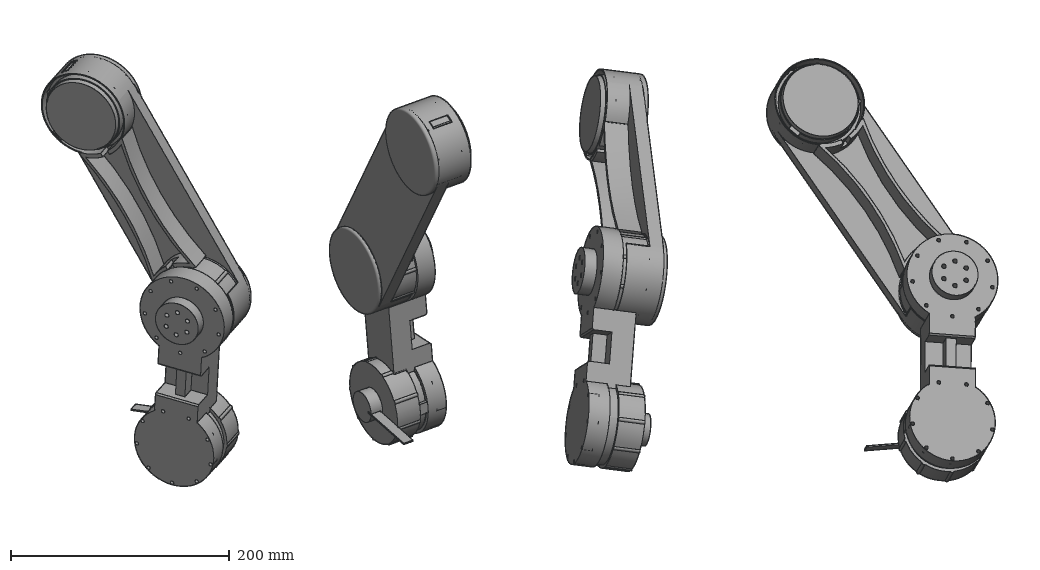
import cadquery as cq

PITCH = -4.2
YAW = -7.8
ROLL = 1.0

ARM_LENGTH = 208.5
ARM_LEAN = 35.0
FOREARM_LENGTH = 139.5

MOTOR_FACE_RADIUS = 35.0
MOTOR_NECK_RADIUS = 36.0
MOTOR_NECK_LENGTH = 4.5
MOTOR_COLLAR_RADIUS = 37.0
MOTOR_COLLAR_LENGTH = 8.5
MOTOR_BODY_RADIUS = 40.0
MOTOR_BODY_LENGTH = 25.0
MOTOR_LENGTH = MOTOR_NECK_LENGTH + MOTOR_COLLAR_LENGTH + MOTOR_BODY_LENGTH
CONNECTOR_WIDTH = 11.0
CONNECTOR_DEPTH = 6.0
CONNECTOR_ANGLE = 182.0
RIB_COUNT = 9
RIB_RADIUS = 2.0
RIB_TIP_RADIUS = 41.0
WRIST_RIB_ANGLE = -2.0
ELBOW_RIB_ANGLE = 15.0

STRIP_REACH = 69.5
STRIP_ROOT = 10.0
STRIP_WIDTH = 10.0
STRIP_THICKNESS = 1.5
STRIP_ANGLE = -9.0

SHELL_RADIUS = 42.0
BORE_RADIUS = RIB_TIP_RADIUS
ARM_FRONT = 22.5
SLAB_FRONT = 45.0
ARM_BACK = 58.0
RAIL_WAIST = 16.0
RAIL_FLARE = 25.5
RAIL_FLARE_SPAN = 70.0
RAIL_THICKNESS = 3.0
COLLAR_RADIUS = 45.0
SLOT_WIDTH = 8.0
TIP_SLOT_FRONT = 32.0
TIP_SLOT_LENGTH = 20.0
INNER_SLOT_BACK = 36.0

SHOULDER_FRONT = 23.5
SHOULDER_CAP_THICKNESS = 5.0
ELBOW_CAP_THICKNESS = 3.5
CAP_FILLET = 2.0

ELBOW_PLATE_RADIUS = 42.5
ELBOW_PLATE_THICKNESS = 19.0
WRIST_FACE = -2.0
WRIST_PLATE_THICKNESS = 20.0
WRIST_PLATE_RADIUS = 40.0
BEAM_WIDTH = 43.0
BEAM_BACK = 40.2
BEAM_WEB_FRONT = 18.8
BEAM_RIB_WIDTH = 9.5
BEAM_RIB_FRONT = 5.4
BEAM_GAP_TOP = -57.3
BEAM_GAP_BOTTOM = -87.0
BEAM_EDGE_CHAMFER = 1.5
JOINT_CLEARANCE = 0.5
SCREW_COUNT = 9
SCREW_CIRCLE_RADIUS = 37.8
SCREW_DIAMETER = 3.3
SCREW_DEPTH = 10.0

ELBOW_HUB_RADIUS = 21.5
ELBOW_HUB_LENGTH = 11.5
HUB_SCREW_COUNT = 6
HUB_SCREW_CIRCLE_RADIUS = 12.0
HUB_SCREW_DIAMETER = 4.1
WRIST_HUB_RADIUS = 15.0
WRIST_HUB_LENGTH = 12.5


def disc(radius, front, back, z=0.0):
    """Cylinder along Y from front to back, centred on X = 0 at height z."""
    return cq.Workplane("XZ", origin=(0, front, z)).circle(radius).extrude(front - back)


def block(x_min, x_max, y_min, y_max, z_min, z_max):
    """Axis-aligned box between the given limits."""
    size = (x_max - x_min, y_max - y_min, z_max - z_min)
    return cq.Workplane().box(*size, centered=False).translate((x_min, y_min, z_min))


def turn(body, angle):
    """Turn a body about the Y axis, counter-clockwise when seen from the front."""
    return body.rotate((0, 0, 0), (0, 1, 0), -angle)


def screw_holes(count, circle_radius, diameter, front, depth, first_angle, z=0.0):
    """Ring of hole-shaped cutters drilled backwards from the plane Y = front."""
    return (
        cq.Workplane("XZ", origin=(0, front, z))
        .polarArray(circle_radius, first_angle, 360, count)
        .circle(diameter / 2)
        .extrude(-depth)
    )


def make_motor(rib_angle):
    """Motor along Y: face at Y = 0, neck, collar with its connector, then the ribbed body."""
    collar_start = MOTOR_NECK_LENGTH
    collar_end = collar_start + MOTOR_COLLAR_LENGTH
    profile = [
        (0, 0),
        (MOTOR_FACE_RADIUS, 0),
        (MOTOR_NECK_RADIUS, collar_start),
        (MOTOR_COLLAR_RADIUS, collar_start),
        (MOTOR_COLLAR_RADIUS, collar_end),
        (MOTOR_BODY_RADIUS, collar_end),
        (MOTOR_BODY_RADIUS, MOTOR_LENGTH),
        (0, MOTOR_LENGTH),
    ]
    motor = cq.Workplane("XY").polyline(profile).close().revolve(360, (0, 0), (0, 1))
    ribs = (
        cq.Workplane("XZ", origin=(0, collar_end, 0))
        .polarArray(RIB_TIP_RADIUS - RIB_RADIUS, rib_angle, 360, RIB_COUNT)
        .circle(RIB_RADIUS)
        .extrude(-MOTOR_BODY_LENGTH)
    )
    connector = block(
        MOTOR_BODY_RADIUS - CONNECTOR_DEPTH, MOTOR_BODY_RADIUS,
        collar_start, collar_end,
        -CONNECTOR_WIDTH / 2, CONNECTOR_WIDTH / 2,
    )
    return motor.union(ribs).union(turn(connector, rib_angle + CONNECTOR_ANGLE))


def make_elbow_hub():
    """Round output hub on the elbow plate, with a ring of screw holes."""
    front = -ELBOW_HUB_LENGTH
    holes = screw_holes(
        HUB_SCREW_COUNT, HUB_SCREW_CIRCLE_RADIUS, HUB_SCREW_DIAMETER, front, ELBOW_HUB_LENGTH, 90
    )
    return disc(ELBOW_HUB_RADIUS, front, 0).cut(holes)


def make_joint_drum(front, cap_thickness, z):
    """Round end of the upper arm, with a cap that stands out behind the slab."""
    drum = disc(SHELL_RADIUS, front, ARM_BACK + cap_thickness, z)
    return drum.faces(">Y").edges().fillet(CAP_FILLET)


def rail_outline(inset):
    """Waisted strip between the two joints, its curved sides moved inwards by inset."""
    middle = ARM_LENGTH / 2
    low = middle - RAIL_FLARE_SPAN
    high = middle + RAIL_FLARE_SPAN
    flare = RAIL_FLARE - inset
    waist = RAIL_WAIST - inset
    return (
        cq.Workplane("XZ", origin=(0, ARM_FRONT, 0))
        .moveTo(-flare, low)
        .lineTo(flare, low)
        .threePointArc((waist, middle), (flare, high))
        .lineTo(-flare, high)
        .threePointArc((-waist, middle), (-flare, low))
        .close()
        .extrude(ARM_FRONT - SLAB_FRONT)
    )


def make_arm():
    """Upper arm standing along +Z from the elbow to the shoulder."""
    slab = block(-SHELL_RADIUS, SHELL_RADIUS, SLAB_FRONT, ARM_BACK, 0, ARM_LENGTH)
    rails = rail_outline(0).cut(rail_outline(RAIL_THICKNESS))
    shoulder_drum = make_joint_drum(SHOULDER_FRONT, SHOULDER_CAP_THICKNESS, ARM_LENGTH)

    window = block(-SHELL_RADIUS, SHELL_RADIUS, ARM_FRONT, SLAB_FRONT, 0, SHELL_RADIUS)
    elbow_drum = make_joint_drum(ARM_FRONT, ELBOW_CAP_THICKNESS, 0).cut(window.cut(rail_outline(0)))

    arm = slab.union(rails).union(shoulder_drum).union(elbow_drum)
    for z in (0, ARM_LENGTH):
        arm = arm.union(disc(COLLAR_RADIUS, ARM_FRONT, SLAB_FRONT, z).intersect(rail_outline(0)))
        arm = arm.cut(disc(BORE_RADIUS, 0, ARM_BACK, z))

    half_slot = SLOT_WIDTH / 2
    tip_slot = block(
        -half_slot, half_slot,
        TIP_SLOT_FRONT, TIP_SLOT_FRONT + TIP_SLOT_LENGTH,
        ARM_LENGTH, ARM_LENGTH + 2 * SHELL_RADIUS,
    )
    inner_slots = block(-half_slot, half_slot, ARM_FRONT, INNER_SLOT_BACK, 0, ARM_LENGTH)
    return arm.cut(tip_slot).cut(inner_slots)


def make_forearm():
    """Forearm: elbow plate, ribbed beam and wrist plate in one piece."""
    half_width = BEAM_WIDTH / 2
    half_rib = BEAM_RIB_WIDTH / 2
    wrist_z = -FOREARM_LENGTH
    elbow_plate_back = ELBOW_PLATE_THICKNESS
    wrist_plate_back = WRIST_FACE + WRIST_PLATE_THICKNESS

    web = block(-half_width, half_width, BEAM_WEB_FRONT, BEAM_BACK, wrist_z, 0)
    rib = block(-half_rib, half_rib, BEAM_RIB_FRONT, BEAM_BACK, wrist_z, 0)
    elbow_block = (
        block(-half_width, half_width, 0, BEAM_BACK, BEAM_GAP_TOP, 0)
        .faces("<Z").edges("<Y").chamfer(BEAM_EDGE_CHAMFER)
    )
    wrist_block = (
        block(-half_width, half_width, WRIST_FACE, BEAM_BACK, wrist_z, BEAM_GAP_BOTTOM)
        .faces(">Z").edges("<Y").chamfer(BEAM_EDGE_CHAMFER)
    )
    beam = web.union(rib).union(elbow_block).union(wrist_block)
    clear_radius = SHELL_RADIUS + JOINT_CLEARANCE
    beam = beam.cut(disc(clear_radius, elbow_plate_back, BEAM_BACK))

    forearm = (
        beam.union(disc(ELBOW_PLATE_RADIUS, 0, elbow_plate_back))
        .union(disc(WRIST_PLATE_RADIUS, WRIST_FACE, wrist_plate_back, wrist_z))
    )
    for front, z in ((0, 0), (WRIST_FACE, wrist_z)):
        forearm = forearm.cut(
            screw_holes(SCREW_COUNT, SCREW_CIRCLE_RADIUS, SCREW_DIAMETER, front, SCREW_DEPTH, 270, z)
        )
    return forearm


def make_cable_strip():
    """Flat cable leaving the back of the motor towards -X."""
    strip = block(
        -STRIP_REACH, -STRIP_ROOT,
        0, STRIP_WIDTH,
        -STRIP_THICKNESS / 2, STRIP_THICKNESS / 2,
    )
    return strip.rotate((0, 0, 0), (0, 1, 0), STRIP_ANGLE)


arm = turn(make_arm(), ARM_LEAN)
shoulder_motor_face = SHOULDER_FRONT - MOTOR_NECK_LENGTH
shoulder_motor = turn(
    make_motor(ELBOW_RIB_ANGLE).translate((0, shoulder_motor_face, ARM_LENGTH)),
    ARM_LEAN,
)

elbow_motor = (
    make_motor(ELBOW_RIB_ANGLE)
    .mirror("XZ")
    .translate((0, ELBOW_PLATE_THICKNESS + MOTOR_LENGTH, 0))
)
elbow_hub = make_elbow_hub()

wrist_motor_face = WRIST_FACE + WRIST_PLATE_THICKNESS - MOTOR_NECK_LENGTH
wrist_motor_back = wrist_motor_face + MOTOR_LENGTH
wrist_hub_back = wrist_motor_back + WRIST_HUB_LENGTH
wrist_motor = make_motor(WRIST_RIB_ANGLE).translate((0, wrist_motor_face, -FOREARM_LENGTH))
forearm = make_forearm().cut(wrist_motor)
cable_strip = make_cable_strip().translate((0, wrist_hub_back - STRIP_WIDTH, -FOREARM_LENGTH))
wrist_hub = disc(WRIST_HUB_RADIUS, wrist_motor_back, wrist_hub_back, -FOREARM_LENGTH).cut(cable_strip)

bodies = [
    arm, shoulder_motor, elbow_motor, elbow_hub,
    forearm, wrist_motor, wrist_hub, cable_strip,
]


def tilt(body):
    """Tilt a body into the final attitude of the assembly."""
    origin = (0, 0, 0)
    rolled = body.rotate(origin, (0, 1, 0), ROLL)
    pitched = rolled.rotate(origin, (1, 0, 0), PITCH)
    return pitched.rotate(origin, (0, 0, 1), YAW)


solids = [solid for body in bodies for solid in tilt(body).solids().vals()]
result = cq.Compound.makeCompound(solids)